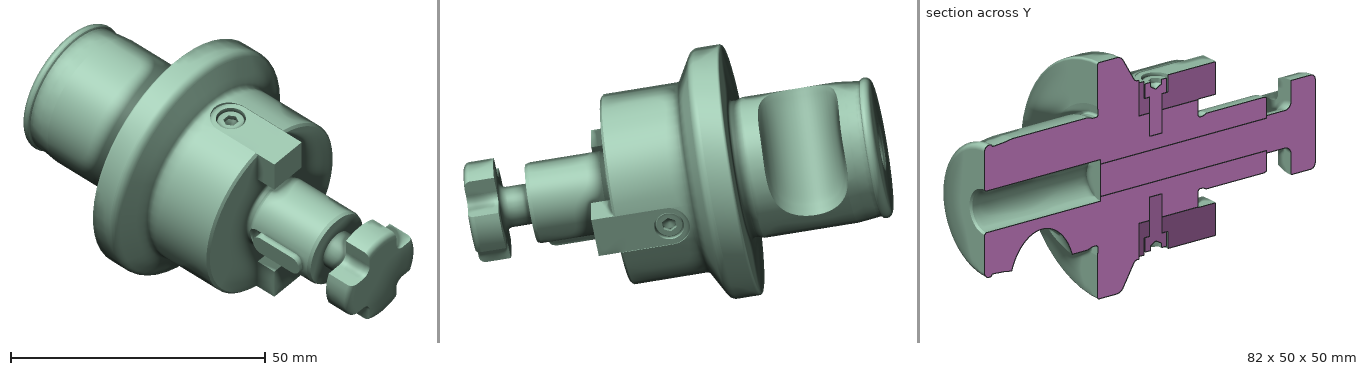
import cadquery as cq
import math


flange_x = 28.0
flange_rim_end_x = 32.7
barrel_end_x = 53.0
pilot_end_x = 69.95
head_x = 75.85
total_length = 82.0

shank_radius = 14.0
nose_radius = 1.2
nose_back_x = 1.8
neck_radius = 13.6
lead_groove_x = 2.05
lead_groove_radius = 13.5
lead_taper_x = 2.6
lead_taper_end_x = 7.0
relief_taper_x = 25.6
relief_x = 26.8
relief_fillet = 0.5
face_recess_radius = 15.75
face_recess_depth = 0.2

flange_radius = 25.0
flange_edge_round = 0.5
cone_angle = math.radians(60)
rim_fillet = 2.0
root_fillet = 1.0
barrel_radius = 18.95
barrel_chamfer = 0.5

pilot_radius = 8.0
pilot_relief_radius = 7.6
pilot_relief_fillet = 0.5
pilot_relief_end_x = 54.1
pilot_relief_taper_x = 54.9
pilot_chamfer_length = 0.7
pilot_chamfer_height = 0.25

bore_radius = 4.35
bore_chamfer = 0.4
bore_depth = 28.7
thread_radius = 3.4
screw_neck_radius = 4.0
neck_fillet = 1.5
head_radius = 10.0
head_arm_width = 2 * screw_neck_radius
head_corner_radius = 2.0
head_end_round = 1.3

notch_x = 14.3
notch_radius = 8.0
notch_floor = 4.9
notch_tilt = 45

drive_key_width = 8.2
drive_key_top = 18.4
drive_key_seat = 11.4
drive_key_end_x = 57.3
drive_screw_x = 42.5
drive_key_start_x = drive_screw_x - drive_key_width / 2
cap_radius = 2.7
cap_height = 3.0
cap_chamfer = 0.2
cap_recess = 0.6
cap_top = drive_key_top - cap_recess
cap_bottom = cap_top - cap_height
counterbore_radius = 2.95
drive_screw_radius = 1.5
drive_screw_depth = 4.9
socket_flats = 2.6
socket_depth = 1.0
socket_point_angle = math.radians(60)
key_sides = (0, 180)

feather_width = 4.1
feather_top = 9.1
feather_seat = 5.6
feather_start_x = 56.1
feather_end_x = 68.15
feather_slot_start_x = 53.95


def cylinder_x(radius, start, end):
    return cq.Workplane("YZ").workplane(offset=start).circle(radius).extrude(end - start)


def cylinder_z(radius, x, bottom, top):
    return cq.Workplane("XY").workplane(offset=bottom).center(x, 0).circle(radius).extrude(top - bottom)


def turned_body():
    """Shank, flange, barrel and pilot as one revolved outline of (x, radius)."""
    nose_crest = (nose_radius, shank_radius)
    nose_arc_end = (
        nose_back_x,
        shank_radius - nose_radius + math.sqrt(nose_radius**2 - (nose_back_x - nose_radius) ** 2),
    )
    relief_end_x = flange_x + face_recess_depth - relief_fillet
    rim_arc_end = (
        flange_rim_end_x + rim_fillet * math.sin(cone_angle),
        flange_radius - rim_fillet * (1 - math.cos(cone_angle)),
    )
    root_arc_height = root_fillet * (1 - math.cos(cone_angle))
    cone_drop = rim_arc_end[1] - barrel_radius - root_arc_height
    cone_end = (
        rim_arc_end[0] + cone_drop / math.tan(cone_angle),
        barrel_radius + root_arc_height,
    )
    root_arc_end = (cone_end[0] + root_fillet * math.sin(cone_angle), barrel_radius)
    outline = (
        cq.Workplane("XY")
        .lineTo(0, shank_radius - nose_radius)
        .threePointArc(nose_crest, nose_arc_end)
        .lineTo(lead_groove_x, lead_groove_radius)
        .lineTo(lead_taper_x, lead_groove_radius)
        .lineTo(lead_taper_end_x, shank_radius)
        .lineTo(relief_taper_x, shank_radius)
        .lineTo(relief_x, neck_radius)
        .lineTo(relief_end_x, neck_radius)
        .tangentArcPoint((relief_fillet, relief_fillet))
        .lineTo(flange_x, face_recess_radius)
        .lineTo(flange_x, flange_radius - flange_edge_round)
        .tangentArcPoint((flange_edge_round, flange_edge_round))
        .lineTo(flange_rim_end_x, flange_radius)
        .tangentArcPoint(rim_arc_end, relative=False)
        .lineTo(*cone_end)
        .tangentArcPoint(root_arc_end, relative=False)
        .lineTo(barrel_end_x - barrel_chamfer, barrel_radius)
        .lineTo(barrel_end_x, barrel_radius - barrel_chamfer)
        .lineTo(barrel_end_x, pilot_relief_radius + pilot_relief_fillet)
        .tangentArcPoint((pilot_relief_fillet, -pilot_relief_fillet))
        .lineTo(pilot_relief_end_x, pilot_relief_radius)
        .lineTo(pilot_relief_taper_x, pilot_radius)
        .lineTo(pilot_end_x - pilot_chamfer_length, pilot_radius)
        .lineTo(pilot_end_x, pilot_radius - pilot_chamfer_height)
        .lineTo(pilot_end_x, 0)
        .close()
    )
    return outline.revolve(360, (0, 0, 0), (1, 0, 0))


def axial_bore():
    """Chamfered draw-bolt bore that steps down to the retaining screw thread."""
    mouth_radius = bore_radius + bore_chamfer
    mouth = cq.Workplane(
        cq.Solid.makeCone(mouth_radius, bore_radius, bore_chamfer, cq.Vector(0, 0, 0), cq.Vector(1, 0, 0))
    )
    bore = cylinder_x(bore_radius, 0, bore_depth)
    return bore.union(mouth).union(cylinder_x(thread_radius, bore_depth, pilot_end_x))


def clamping_notch():
    """Round-bottomed notch cut across the shank on its +Y, -Z side."""
    return (
        cq.Workplane("XZ")
        .center(notch_x, -notch_floor - notch_radius)
        .circle(notch_radius)
        .extrude(shank_radius, both=True)
        .rotate((0, 0, 0), (1, 0, 0), notch_tilt)
    )


def drive_key_blank(end_x, top):
    """Bar with a rounded -X end, resting on the drive key seat."""
    half_width = drive_key_width / 2
    return (
        cq.Workplane("XY")
        .workplane(offset=drive_key_seat)
        .moveTo(end_x, -half_width)
        .lineTo(end_x, half_width)
        .lineTo(drive_screw_x, half_width)
        .threePointArc((drive_key_start_x, 0), (drive_screw_x, -half_width))
        .close()
        .extrude(top - drive_key_seat)
    )


def drive_screw_shank():
    tip = drive_key_seat - drive_screw_depth
    return cylinder_z(drive_screw_radius, drive_screw_x, tip, cap_bottom)


def make_drive_key(angle):
    counterbore = cylinder_z(counterbore_radius, drive_screw_x, cap_bottom, drive_key_top)
    key = drive_key_blank(drive_key_end_x, drive_key_top).cut(counterbore).cut(drive_screw_shank())
    return key.rotate((0, 0, 0), (1, 0, 0), angle)


def make_drive_screw(angle):
    """Socket head cap screw with a hexagon socket ending in a drill point."""
    head = cylinder_z(cap_radius, drive_screw_x, cap_bottom, cap_top)
    head = head.faces(">Z").edges().chamfer(cap_chamfer)
    socket = (
        cq.Workplane("XY")
        .workplane(offset=cap_top - socket_depth)
        .polygon(6, socket_flats, circumscribed=True)
        .extrude(socket_depth)
        .translate((drive_screw_x, 0, 0))
    )
    point_depth = socket_flats / 2 / math.tan(socket_point_angle)
    drill_point = cq.Workplane(
        cq.Solid.makeCone(
            socket_flats / 2, 0, point_depth,
            cq.Vector(drive_screw_x, 0, cap_top - socket_depth), cq.Vector(0, 0, -1),
        )
    )
    screw = head.union(drive_screw_shank()).cut(socket).cut(drill_point)
    return screw.rotate((0, 0, 0), (1, 0, 0), angle)


def round_ended_bar(start_x, end_x, top):
    """Bar with two rounded ends on the -Y side, resting on the feather key seat."""
    return (
        cq.Workplane("XZ")
        .workplane(offset=feather_seat)
        .center((start_x + end_x) / 2, 0)
        .slot2D(end_x - start_x, feather_width)
        .extrude(top - feather_seat)
    )


def make_retaining_screw():
    """Threaded shaft, filleted neck and a cross-shaped head with rounded inner corners."""
    shaft = cylinder_x(thread_radius, bore_depth, pilot_end_x)
    neck = (
        cq.Workplane("XY")
        .moveTo(pilot_end_x, 0)
        .lineTo(pilot_end_x, screw_neck_radius)
        .lineTo(head_x - neck_fillet, screw_neck_radius)
        .tangentArcPoint((neck_fillet, neck_fillet))
        .lineTo(head_x, 0)
        .close()
        .revolve(360, (0, 0, 0), (1, 0, 0))
    )
    head_length = total_length - head_x
    arm_span = 2 * head_radius
    arms = (
        cq.Workplane("YZ").rect(arm_span, head_arm_width).extrude(head_length)
        .union(cq.Workplane("YZ").rect(head_arm_width, arm_span).extrude(head_length))
    )
    inner_corners = cq.selectors.BoxSelector(
        (0, -head_radius / 2, -head_radius / 2),
        (head_length, head_radius / 2, head_radius / 2),
    )
    arms = arms.edges("|X").edges(inner_corners).fillet(head_corner_radius).translate((head_x, 0, 0))
    disc = cylinder_x(head_radius, head_x, total_length).faces(">X").edges().fillet(head_end_round)
    return shaft.union(neck).union(disc.intersect(arms))


def make_body():
    body = turned_body().cut(axial_bore()).cut(clamping_notch())
    key_slot = drive_key_blank(barrel_end_x, barrel_radius).union(drive_screw_shank())
    for angle in key_sides:
        body = body.cut(key_slot.rotate((0, 0, 0), (1, 0, 0), angle))
    return body.cut(round_ended_bar(feather_slot_start_x, feather_end_x, pilot_radius))


body = make_body()
drive_keys = [make_drive_key(angle).val() for angle in key_sides]
drive_screws = [make_drive_screw(angle).val() for angle in key_sides]
feather_key = round_ended_bar(feather_start_x, feather_end_x, feather_top)
retaining_screw = make_retaining_screw()

result = cq.Compound.makeCompound(
    [body.val(), *drive_keys, *drive_screws, feather_key.val(), retaining_screw.val()]
)